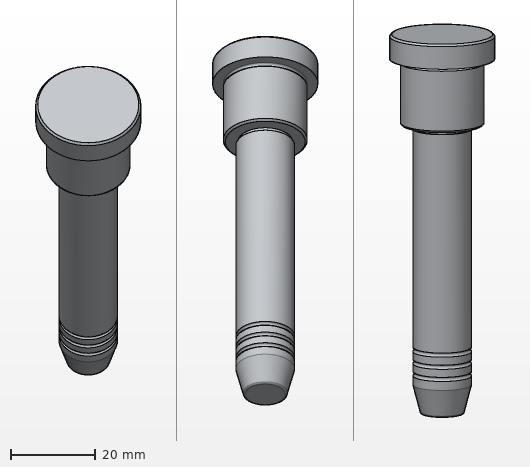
import cadquery as cq

total_length = 92.0
head_diameter = 25.0
head_height = 6.0
edge_chamfer = 0.5

body_diameter = 20.0
body_end_depth = 22.0
shaft_diameter = 14.0

groove_radius = 0.5
groove_width = 2 * groove_radius
first_groove_depth = 76.45
groove_pitch = 2.9
groove_count = 3

taper_length = 7.0
tip_diameter = 10.3
tip_fillet = 0.5


def cylinder(diameter, bottom, top):
    """Solid cylinder on the Z axis between two heights."""
    return cq.Workplane("XY").workplane(offset=bottom).circle(diameter / 2).extrude(top - bottom)


def round_groove(diameter, height):
    """Ring with a round section, centred on the surface of a cylinder."""
    radius = diameter / 2
    section = cq.Workplane("XZ").center(radius, height).circle(groove_radius)
    return section.revolve(360, (-radius, 0, 0), (-radius, 1, 0))


head_bottom = total_length - head_height
body_bottom = total_length - body_end_depth
shaft_top = body_bottom - groove_width

head = cylinder(head_diameter, head_bottom, total_length).faces(">Z").edges().chamfer(edge_chamfer)

body = cylinder(body_diameter, body_bottom, head_bottom).faces("<Z").edges().chamfer(edge_chamfer)
body = body.cut(round_groove(body_diameter, head_bottom - groove_radius))

shaft = cylinder(shaft_diameter, taper_length, shaft_top)
neck = cylinder(shaft_diameter - groove_width, shaft_top, body_bottom)

for index in range(groove_count):
    groove_depth = first_groove_depth + index * groove_pitch
    shaft = shaft.cut(round_groove(shaft_diameter, total_length - groove_depth))

tip = (
    cq.Workplane("XY")
    .circle(tip_diameter / 2)
    .workplane(offset=taper_length)
    .circle(shaft_diameter / 2)
    .loft(ruled=True)
    .faces("<Z")
    .edges()
    .fillet(tip_fillet)
)

result = head.union(body).union(neck).union(shaft).union(tip)